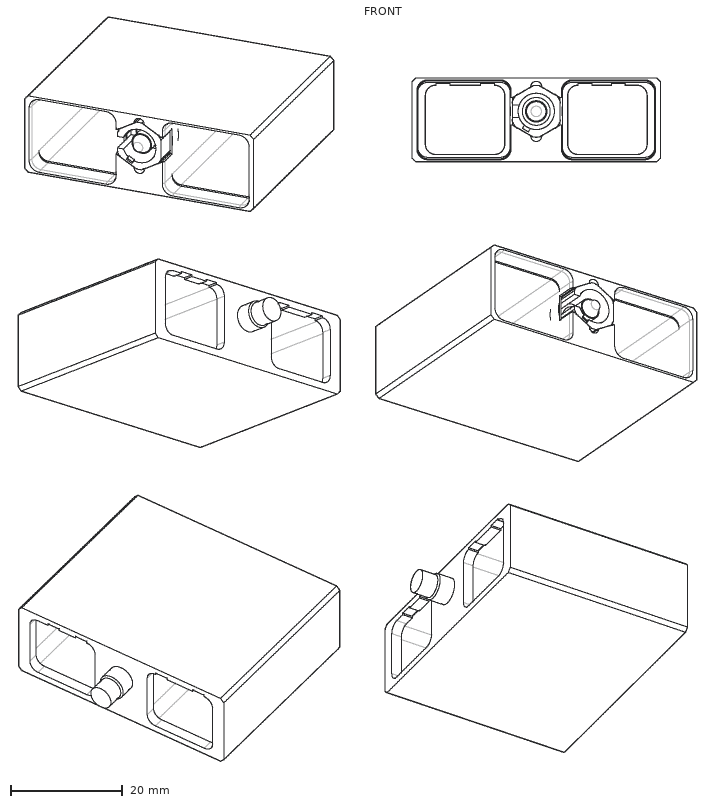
import cadquery as cq
import math

housing_width = 44.45
housing_height = 15.02
housing_length = 36.65
corner_chamfer = 0.7

web_width = 9.35
side_wall = 1.05
socket_height = 13.9
socket_radius = 1.8
mouth_flare = 0.2
mouth_flare_depth = 0.8
bore_height = 13.4
bore_start = 4.1

rear_plate = 2.0
window_height = 12.3
window_inner_edge = 5.65
window_outer_edge = 19.8
window_radius = 1.8
notch_width = 2.45
notch_top = 6.5
left_notches = (-16.65, -8.7)
right_notches = (8.7, 14.65)

axis_height = 1.5
insert_apothem = 4.22
insert_radius = 4.62
head_depth = 4.45
insert_depth = 7.1
insert_bore_radius = 3.25
slot_height = 2.25
slot_depth = 6.22
pointer_width = 1.2
pointer_reach = 3.85
pointer_depth = 0.45
pointer_angle = 240.0

recess_clearance = 0.05
side_opening_depth = 4.15
relief_radius = 1.0
relief_offset = 4.4

shank_radius = 2.5
tail_radius = 2.2
tail_start = 3.3
tail_chamfer = shank_radius - tail_radius
pin_overhang_rear = 6.4
tip_overhang = 1.05
tip_radius = 0.95
tip_dome = 0.55
nose_radius = 1.75
nose_depth = 1.15
collar_radius = 1.9
collar_end = 5.35
flange_start = 6.22
flange_depth = 6.65

socket_inner_edge = web_width / 2
socket_outer_edge = housing_width / 2 - side_wall
socket_width = socket_outer_edge - socket_inner_edge
socket_centre = (socket_outer_edge + socket_inner_edge) / 2
window_width = window_outer_edge - window_inner_edge
window_centre = (window_outer_edge + window_inner_edge) / 2
recess_apothem = insert_apothem + recess_clearance


def section(y, x=0.0, z=0.0):
    """Sketch plane facing the rear at depth y: local x is -X, local y is Z."""
    return cq.Workplane(cq.Plane((x, y, z), (-1, 0, 0), (0, 1, 0)))


def axis_section(y):
    """Sketch plane at depth y, centred on the axis of the pin and insert."""
    return section(y, z=axis_height)


def rounded_bar(x, width, height, radius, start, end):
    """Bar along Y with rounded long edges, centred on X = x and Z = 0."""
    return section(start, x).rect(width, height).extrude(end - start).edges("|Y").fillet(radius)


def hexagon(apothem, depth):
    """Hexagonal bar about the pin axis, from the mating face, with corners at top and bottom."""
    corner = apothem / math.cos(math.pi / 6)
    angles = [math.radians(30 + 60 * i) for i in range(6)]
    corners = [(corner * math.cos(a), corner * math.sin(a)) for a in angles]
    return axis_section(0).polyline(corners).close().extrude(depth)


def socket(side, notches):
    """Everything removed for one socket; side is -1 for left and 1 for right."""
    centre = side * socket_centre
    plate_front = housing_length - rear_plate
    cut = rounded_bar(centre, socket_width, socket_height, socket_radius, 0, bore_start)
    cut = cut.union(flared_mouth(centre))
    cut = cut.union(rounded_bar(centre, socket_width, bore_height, socket_radius, 0, plate_front))
    cut = cut.union(
        rounded_bar(side * window_centre, window_width, window_height, window_radius, 0, housing_length)
    )
    for x in notches:
        notch = section(plate_front, x).rect(notch_width, notch_top, centered=(True, False))
        cut = cut.union(notch.extrude(rear_plate))
    return cut


def flared_mouth(x):
    """Tapered entry of a socket, wider at the mating face."""
    taper = math.degrees(math.atan(mouth_flare / mouth_flare_depth))
    entry = cq.Sketch().rect(socket_width + 2 * mouth_flare, socket_height + 2 * mouth_flare)
    entry = entry.vertices().fillet(socket_radius + mouth_flare)
    return section(0, x).placeSketch(entry).extrude(mouth_flare_depth, taper=taper)


def insert_recess():
    """Hexagonal recess open sideways into both sockets, round reliefs, and a round bore behind."""
    side_opening = 2 * recess_apothem / math.sqrt(3)
    cut = hexagon(recess_apothem, head_depth)
    cut = cut.union(axis_section(0).rect(web_width, side_opening).extrude(side_opening_depth))
    reliefs = axis_section(0).pushPoints([(0, relief_offset), (0, -relief_offset)])
    cut = cut.union(reliefs.circle(relief_radius).extrude(head_depth))
    rear = axis_section(head_depth).circle(insert_radius)
    return cut.union(rear.extrude(insert_depth - head_depth))


def make_housing():
    """Chamfered block with two sockets, the insert recess and a through hole for the shank."""
    body = section(0).rect(housing_width, housing_height).extrude(housing_length)
    body = body.edges("|Y").chamfer(corner_chamfer)
    body = body.cut(socket(-1, left_notches)).cut(socket(1, right_notches))
    body = body.cut(insert_recess())
    return body.cut(axis_section(0).circle(shank_radius).extrude(housing_length))


def make_insert():
    """Hexagonal head with turned-off corners on a round body, bored through for the pin."""
    barrel = axis_section(0).circle(insert_radius).extrude(insert_depth)
    body = barrel.intersect(hexagon(insert_apothem, head_depth))
    rear = axis_section(head_depth).circle(insert_radius)
    body = body.union(rear.extrude(insert_depth - head_depth))
    body = body.cut(axis_section(0).circle(insert_bore_radius).extrude(insert_depth))
    slot = axis_section(0).rect(insert_apothem, slot_height, centered=(False, True))
    body = body.cut(slot.extrude(slot_depth))
    pointer = axis_section(0).rect(pointer_reach, pointer_width, centered=(False, True))
    pointer = pointer.extrude(pointer_depth)
    axis_start = (0, 0, axis_height)
    axis_end = (0, -1, axis_height)
    return body.cut(pointer.rotate(axis_start, axis_end, pointer_angle - 180))


def make_pin():
    """Turned pin: domed tip, nose cone, collar, flange filling the insert bore, shank and tail."""
    rear = housing_length
    tip_base = tip_dome - tip_overhang
    dome_radius = (tip_radius**2 + tip_dome**2) / (2 * tip_dome)
    mid_radius = tip_radius / 2
    mid_rise = dome_radius - math.sqrt(dome_radius**2 - mid_radius**2)
    dome_mid = (mid_radius, mid_rise - tip_overhang)
    turned = (
        cq.Workplane("XY")
        .moveTo(0, -tip_overhang)
        .threePointArc(dome_mid, (tip_radius, tip_base))
        .lineTo(nose_radius, nose_depth)
        .lineTo(collar_radius, nose_depth)
        .lineTo(collar_radius, collar_end)
        .lineTo(shank_radius, flange_start)
        .lineTo(insert_bore_radius, flange_depth)
        .lineTo(insert_bore_radius, insert_depth)
        .lineTo(shank_radius, insert_depth)
        .lineTo(shank_radius, rear + tail_start - tail_chamfer)
        .lineTo(tail_radius, rear + tail_start)
        .lineTo(tail_radius, rear + pin_overhang_rear)
        .lineTo(0, rear + pin_overhang_rear)
        .close()
        .revolve(360, (0, 0), (0, 1))
    )
    return turned.translate((0, 0, axis_height))


housing = make_housing()
insert = make_insert()
pin = make_pin()
result = cq.Compound.makeCompound([housing.val(), insert.val(), pin.val()])